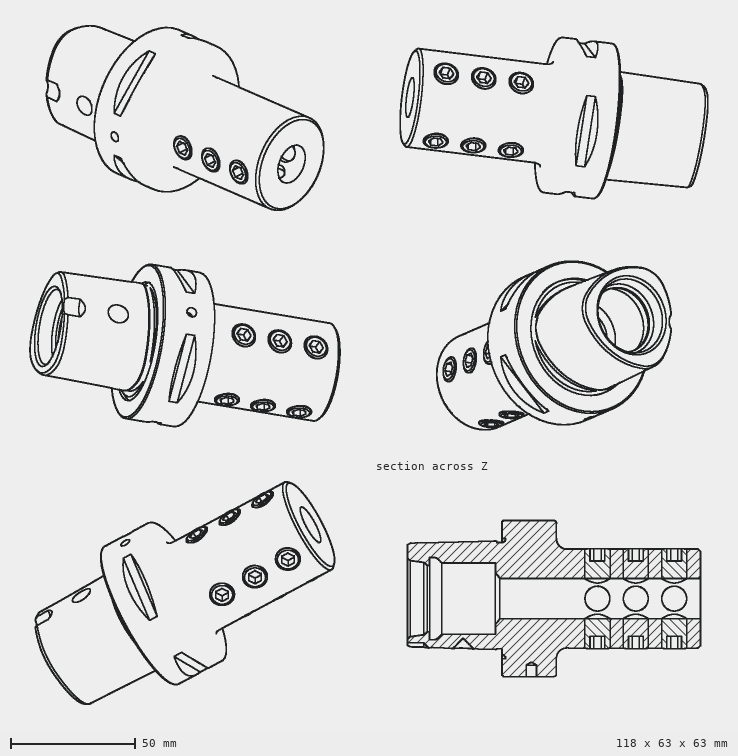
import cadquery as cq
import math

TOTAL_LENGTH = 118.0
FLANGE_START = 38.0
FLANGE_END = 60.1
FLANGE_RADIUS = 31.5
FLANGE_CHAMFER_FRONT = 0.6
FLANGE_ROUND_BACK = 1.2
SHANK_RADIUS = 20.0
SHANK_CHAMFER = 1.1
SHANK_FILLET = 4.0

LOBE_CENTER = 10.4
LOBE_ANGLES = (0, 120, 240)
LOBE_HALF_ANGLE = 30
LOBE_HEIGHT = LOBE_CENTER * math.cos(math.radians(LOBE_HALF_ANGLE))
LARGE_MEAN_RADIUS = 22.0
TAPER_RATIO = 1 / 40
TAPER_END = 35.5
TIP_CHAMFER_LENGTH = 1.3
TIP_CHAMFER_DEPTH = 0.7
NECK_STEP = 0.2
NECK_STEP_LENGTH = 0.5
NECK_RADIUS = 22.7

RELIEF_OUTER_RADIUS = 24.2
RELIEF_FILLET = RELIEF_OUTER_RADIUS - NECK_RADIUS

MOUTH_RADIUS = 16.34
MOUTH_CHAMFER = 1.1
SOCKET_DEPTH = 6.6
SOCKET_END_RADIUS = 14.5
LIP_SHOULDER_X = 7.5
LIP_SHOULDER_RADIUS = 13.8
LIP_RADIUS = 13.3
LIP_START = 7.9
LIP_END = 9.0
GROOVE_FILLET = 2.4
GROOVE_CONE_START = 12.4
GROOVE_CONE_RADIUS = 15.8
INNER_RADIUS = 14.3
INNER_DEPTH = 35.4
SEAT_OUTER_RADIUS = 10.3
SEAT_INNER_RADIUS = 9.2
THROUGH_RADIUS = 8.0

DIMPLE_X = 22.4
DIMPLE_RADIUS = 4.2
KEY_RADIUS = 5.4
KEY_FLOOR = 17.8
KEY_LENGTH = 6.5

NOTCH_X = 49.9
NOTCH_FLOOR = 28.0
NOTCH_FLOOR_WIDTH = 3.5
NOTCH_MOUTH_WIDTH = 8.0
NOTCH_ANGLES = (45, 135, 225, 315)
PILOT_X = NOTCH_X
PILOT_RADIUS = 2.0
PILOT_DEPTH = 4.7

SCREW_RADIUS = 5.0
SCREW_POINT_RADIUS = 4.2
SCREW_CHAMFER_LENGTH = 0.5
SCREW_TOP = 20.2
SCREW_PITCH = 15.5
LAST_SCREW_X = 107.4
SCREW_COUNT = 3
SCREW_ROW_ANGLES = (90, 180, 270)
HEX_WIDTH = 5.1
HEX_DEPTH = 5.0

DRILL_HALF_ANGLE = math.radians(59)
X_AXIS = ((0, 0, 0), (1, 0, 0))
ARC_MIDDLE = 1 - math.sqrt(0.5)


def lobed_wire(x, mean_radius):
    """Closed outline across the axis at x, with one lobe pointing to +Y.

    Each lobe arc shares its center with the flank arc on the far side.
    """
    lobe_radius = mean_radius - LOBE_HEIGHT
    flank_radius = mean_radius + LOBE_HEIGHT

    def point(lobe_angle, radius, normal_angle):
        lobe = math.radians(lobe_angle)
        normal = math.radians(normal_angle)
        return (LOBE_CENTER * math.cos(lobe) + radius * math.cos(normal),
                LOBE_CENTER * math.sin(lobe) + radius * math.sin(normal))

    start = point(LOBE_ANGLES[0], lobe_radius, -LOBE_HALF_ANGLE)
    outline = cq.Workplane("YZ", origin=(x, 0, 0)).moveTo(*start)
    for lobe in LOBE_ANGLES:
        flank = lobe + 2 * LOBE_HALF_ANGLE
        opposite_lobe = flank + 180
        outline = outline.threePointArc(point(lobe, lobe_radius, lobe),
                                        point(lobe, lobe_radius, lobe + LOBE_HALF_ANGLE))
        outline = outline.threePointArc(point(opposite_lobe, flank_radius, flank),
                                        point(opposite_lobe, flank_radius, flank + LOBE_HALF_ANGLE))
    return outline.close().wires().val()


def lobed_solid(sections):
    """Straight-sided solid through (x, mean radius) sections of the lobed outline."""
    wires = [lobed_wire(x, radius) for x, radius in sections]
    return cq.Workplane(cq.Solid.makeLoft(wires, True))


def cylinder_x(start, end, radius):
    return cq.Workplane("YZ", origin=(start, 0, 0)).circle(radius).extrude(end - start)


def make_taper():
    """Chamfered tip, lobed cone, and neck trimmed to a cylinder where it meets the flange."""
    tip_radius = LARGE_MEAN_RADIUS - TAPER_RATIO * TAPER_END
    chamfer_radius = tip_radius + TAPER_RATIO * TIP_CHAMFER_LENGTH
    neck_mean_radius = LARGE_MEAN_RADIUS - NECK_STEP
    neck_start = TAPER_END + NECK_STEP_LENGTH
    tip = lobed_solid([(0, chamfer_radius - TIP_CHAMFER_DEPTH), (TIP_CHAMFER_LENGTH, chamfer_radius)])
    cone = lobed_solid([(TIP_CHAMFER_LENGTH, chamfer_radius), (TAPER_END, LARGE_MEAN_RADIUS)])
    step = lobed_solid([(TAPER_END, LARGE_MEAN_RADIUS), (neck_start, neck_mean_radius)])
    neck = lobed_solid([(neck_start, neck_mean_radius), (FLANGE_START + RELIEF_FILLET, neck_mean_radius)])
    neck = neck.intersect(cylinder_x(neck_start, FLANGE_END, NECK_RADIUS))
    return tip.union(cone).union(step).union(neck)


def make_flange_and_shank():
    """Flange disc, shank, and the concave fillet between them."""
    flange = cylinder_x(FLANGE_START, FLANGE_END, FLANGE_RADIUS)
    flange = flange.faces("<X").chamfer(FLANGE_CHAMFER_FRONT)
    flange = flange.faces(">X").edges().fillet(FLANGE_ROUND_BACK)
    shank = cylinder_x(FLANGE_END, TOTAL_LENGTH, SHANK_RADIUS).faces(">X").chamfer(SHANK_CHAMFER)
    root_end = FLANGE_END + SHANK_FILLET
    root_radius = SHANK_RADIUS + SHANK_FILLET
    bow = SHANK_FILLET * ARC_MIDDLE
    root = (
        cq.Workplane("XY").moveTo(FLANGE_END, 0).lineTo(FLANGE_END, root_radius)
        .threePointArc((FLANGE_END + bow, SHANK_RADIUS + bow), (root_end, SHANK_RADIUS))
        .lineTo(root_end, 0).close().revolve(360, *X_AXIS)
    )
    return flange.union(root).union(shank)


def relief_groove():
    """Ring cut into the front flange face, with a rounded root beside the neck."""
    floor = FLANGE_START + RELIEF_FILLET
    bow = RELIEF_FILLET * ARC_MIDDLE
    return (
        cq.Workplane("XY").moveTo(FLANGE_START, NECK_RADIUS)
        .threePointArc((floor - bow, NECK_RADIUS + bow), (floor, RELIEF_OUTER_RADIUS))
        .lineTo(FLANGE_START, RELIEF_OUTER_RADIUS).close().revolve(360, *X_AXIS)
    )


def bore():
    """Tapered socket, lip, rounded undercut behind it, inner bore, conical seat and through hole."""
    seat_end = INNER_DEPTH + SEAT_OUTER_RADIUS - SEAT_INNER_RADIUS
    through_start = seat_end + (SEAT_INNER_RADIUS - THROUGH_RADIUS) / math.tan(DRILL_HALF_ANGLE)
    cone_angle = math.radians(45)
    fillet_x = GROOVE_CONE_START - GROOVE_FILLET * math.sin(cone_angle)
    fillet_radius = GROOVE_CONE_RADIUS - GROOVE_FILLET * math.cos(cone_angle)
    groove_radius = fillet_radius + GROOVE_FILLET
    cone_end = GROOVE_CONE_START + GROOVE_CONE_RADIUS - INNER_RADIUS
    entry = [
        (0, 0), (0, MOUTH_RADIUS), (MOUTH_CHAMFER, MOUTH_RADIUS - MOUTH_CHAMFER),
        (SOCKET_DEPTH, SOCKET_END_RADIUS), (LIP_SHOULDER_X, LIP_SHOULDER_RADIUS),
        (LIP_START, LIP_RADIUS), (LIP_END, LIP_RADIUS),
        (LIP_END, groove_radius), (fillet_x, groove_radius),
    ]
    fillet_middle = (fillet_x + GROOVE_FILLET * math.sin(cone_angle / 2),
                     fillet_radius + GROOVE_FILLET * math.cos(cone_angle / 2))
    inside = [
        (cone_end, INNER_RADIUS), (INNER_DEPTH, INNER_RADIUS), (INNER_DEPTH, SEAT_OUTER_RADIUS),
        (seat_end, SEAT_INNER_RADIUS), (through_start, THROUGH_RADIUS),
        (TOTAL_LENGTH, THROUGH_RADIUS), (TOTAL_LENGTH, 0),
    ]
    profile = cq.Workplane("XY").polyline(entry)
    profile = profile.threePointArc(fillet_middle, (GROOVE_CONE_START, GROOVE_CONE_RADIUS))
    profile = profile.polyline(inside, includeCurrent=True).close()
    return profile.revolve(360, *X_AXIS)


def dimple():
    """Ninety-degree conical spot in the middle of the -Y flank."""
    mean_radius = LARGE_MEAN_RADIUS - TAPER_RATIO * (TAPER_END - DIMPLE_X)
    flank_distance = mean_radius + LOBE_HEIGHT - LOBE_CENTER
    tip = cq.Vector(DIMPLE_X, DIMPLE_RADIUS - flank_distance, 0)
    cutter_size = 2 * DIMPLE_RADIUS
    return cq.Workplane(cq.Solid.makeCone(0, cutter_size, cutter_size, tip, cq.Vector(0, -1, 0)))


def key_groove():
    """Round-bottomed groove from the taper's end face, closed by a ninety-degree drill point."""
    axis = KEY_FLOOR + KEY_RADIUS
    profile = [(0, -axis), (0, -KEY_FLOOR), (KEY_LENGTH, -KEY_FLOOR), (KEY_LENGTH + KEY_RADIUS, -axis)]
    return cq.Workplane("XY").polyline(profile).close().revolve(360, (0, -axis, 0), (1, -axis, 0))


def flange_notch(angle):
    """Trapezoidal cut along a tangent of the flange, turned about X from the +Z side."""
    depth = FLANGE_RADIUS - NOTCH_FLOOR
    half_floor = NOTCH_FLOOR_WIDTH / 2
    half_mouth = NOTCH_MOUTH_WIDTH / 2
    return (
        cq.Workplane("XZ", origin=(NOTCH_X, 0, NOTCH_FLOOR))
        .polyline([(-half_floor, 0), (half_floor, 0), (half_mouth, depth), (-half_mouth, depth)]).close()
        .extrude(FLANGE_RADIUS, both=True).rotate(*X_AXIS, angle)
    )


def pilot_hole():
    """Blind drilled hole in the -Y side of the flange."""
    bottom = FLANGE_RADIUS - PILOT_DEPTH
    tip = bottom - PILOT_RADIUS / math.tan(DRILL_HALF_ANGLE)
    profile = [(0, -tip), (PILOT_RADIUS, -bottom), (PILOT_RADIUS, -FLANGE_RADIUS), (0, -FLANGE_RADIUS)]
    hole = cq.Workplane("XY").polyline(profile).close().revolve(360, (0, 0, 0), (0, 1, 0))
    return hole.translate((PILOT_X, 0, 0))


def at_each_screw(shape):
    """Copies of a shape, built along +Z, at every screw place."""
    return [
        shape.translate((LAST_SCREW_X - index * SCREW_PITCH, 0, 0)).rotate(*X_AXIS, angle)
        for angle in SCREW_ROW_ANGLES
        for index in range(SCREW_COUNT)
    ]


def screw_blank(inner_end):
    """Screw body along +Z with its chamfered outer end, reaching down to inner_end."""
    blank = cq.Workplane("XY", origin=(0, 0, inner_end)).circle(SCREW_RADIUS).extrude(SCREW_TOP - inner_end)
    return blank.faces(">Z").chamfer(SCREW_CHAMFER_LENGTH, SCREW_RADIUS - SCREW_POINT_RADIUS)


def make_screw():
    """Set screw along +Z with a hexagon socket in its outer end."""
    hexagon = (
        cq.Workplane("XY", origin=(0, 0, SCREW_TOP - HEX_DEPTH))
        .polygon(6, HEX_WIDTH, circumscribed=True).extrude(HEX_DEPTH)
        .rotate((0, 0, 0), (0, 0, 1), 90)
    )
    return screw_blank(THROUGH_RADIUS).cut(hexagon)


def make_holder():
    holder = make_flange_and_shank().cut(relief_groove()).union(make_taper()).cut(bore())
    holder = holder.cut(dimple()).cut(key_groove()).cut(pilot_hole())
    for angle in NOTCH_ANGLES:
        holder = holder.cut(flange_notch(angle))
    for screw_space in at_each_screw(screw_blank(0)):
        holder = holder.cut(screw_space)
    return holder


holder = make_holder()
screws = at_each_screw(make_screw())

result = cq.Compound.makeCompound([holder.val(), *[screw.val() for screw in screws]])